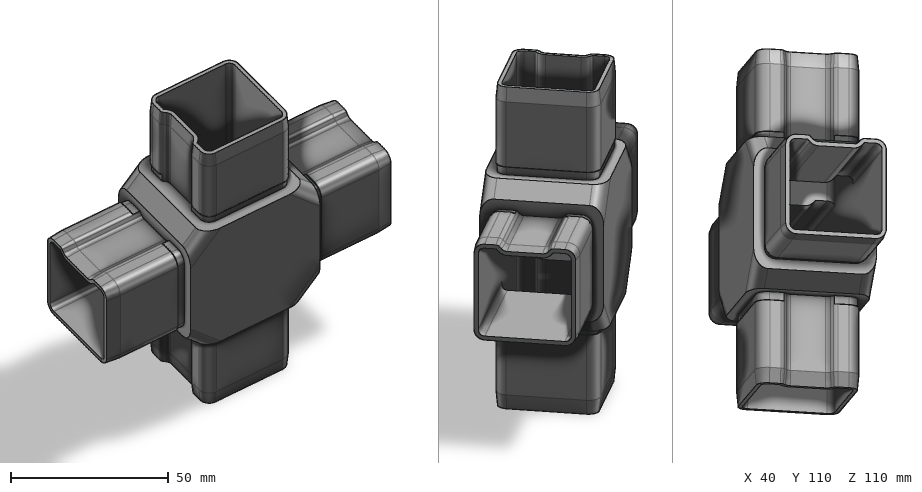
import cadquery as cq
import math

overall_length = 110.0
hub_thickness = 40.0
hub_side = 50.0
hub_chamfer = 5.2
hub_fillet = 4.6

plug_width = 33.8
plug_corner_radius = 4.0
channel_floor_half_width = 5.7
channel_depth = 2.0
channel_bend_radius = 2.0
channel_slope = 45
wall_thickness = 1.9

neck_length = 2.8
neck_relief = 0.38
tip_length = 5.0
tip_inset = 0.5

plug_half_width = plug_width / 2
plug_start = hub_side / 2
grip_start = plug_start + neck_length
plug_end = overall_length / 2
tip_start = plug_end - tip_length


def arc_point(center, radius, degrees):
    """Point on a circle at the given angle."""
    angle = math.radians(degrees)
    return (center[0] + radius * math.cos(angle), center[1] + radius * math.sin(angle))


def line_then_bend(outline, center, radius, start, sweep):
    """Extend an outline with a straight line to an arc, then the arc itself; angles in degrees."""
    outline = outline.lineTo(*arc_point(center, radius, start))
    return outline.threePointArc(
        arc_point(center, radius, start + sweep / 2), arc_point(center, radius, start + sweep)
    )


def plug_section(height, inset):
    """Plug outline at a height along Z, moved inward by inset, with the channel towards -Y."""
    corner_center = plug_half_width - plug_corner_radius
    corner_radius = plug_corner_radius - inset

    floor_y = -plug_half_width + channel_depth
    slope_run = channel_depth / math.tan(math.radians(channel_slope))
    bend_run = 2 * channel_bend_radius * math.tan(math.radians(channel_slope / 2))
    lip_x = channel_floor_half_width + slope_run + bend_run
    lip_y = -plug_half_width + channel_bend_radius
    floor_bend_y = floor_y - channel_bend_radius
    lip_radius = channel_bend_radius - inset
    floor_radius = channel_bend_radius + inset

    outline = cq.Workplane("XY", origin=(0, 0, height))
    outline = outline.moveTo(-channel_floor_half_width, floor_y + inset)
    right_floor = (channel_floor_half_width, floor_bend_y)
    outline = line_then_bend(outline, right_floor, floor_radius, 90, -channel_slope)
    outline = line_then_bend(outline, (lip_x, lip_y), lip_radius, 270 - channel_slope, channel_slope)

    for side_x, side_y, start in ((1, -1, 270), (1, 1, 0), (-1, 1, 90), (-1, -1, 180)):
        center = (side_x * corner_center, side_y * corner_center)
        outline = line_then_bend(outline, center, corner_radius, start, 90)

    outline = line_then_bend(outline, (-lip_x, lip_y), lip_radius, 270, channel_slope)
    left_floor = (-channel_floor_half_width, floor_bend_y)
    outline = line_then_bend(outline, left_floor, floor_radius, 90 + channel_slope, -channel_slope)
    return outline.close()


def make_plug():
    """Solid plug along +Z, reaching down to the middle of the hub."""
    grip = plug_section(grip_start, 0).extrude(tip_start - grip_start)

    tip_wires = [
        plug_section(tip_start, 0).wires().val(),
        plug_section(plug_end, tip_inset).wires().val(),
    ]
    tip = cq.Workplane(cq.Solid.makeLoft(tip_wires, True))

    neck_width = plug_width - 2 * neck_relief
    neck_blank = (
        cq.Workplane("XY")
        .rect(neck_width, neck_width)
        .extrude(grip_start)
        .edges("|Z")
        .fillet(plug_corner_radius - neck_relief)
    )
    neck = plug_section(0, 0).extrude(grip_start).intersect(neck_blank)
    return neck.union(grip).union(tip)


def make_hub():
    """Square block with chamfered X edges, rounded where the chamfers meet the X faces."""
    block = cq.Workplane("XY").box(hub_thickness, hub_side, hub_side)
    block = block.edges("|X").chamfer(hub_chamfer)
    return block.edges("(<X or >X) and (not (|Y or |Z))").fillet(hub_fillet)


def along_y(body):
    """Turn a body from the Z axis to the Y axis, its channel going from -Y to +Z."""
    return body.rotate((0, 0, 0), (1, 0, 0), -90)


upper_plug = make_plug()
plug_pair = upper_plug.union(upper_plug.mirror("XY"))
bore = plug_section(-plug_end, wall_thickness).extrude(overall_length)

result = make_hub().union(plug_pair).union(along_y(plug_pair))
result = result.cut(bore).cut(along_y(bore))